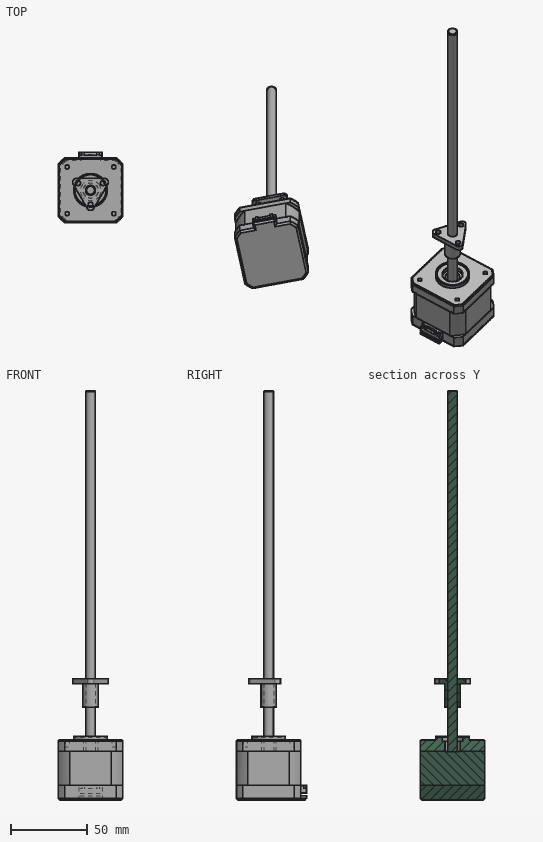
import cadquery as cq
import math

motor_width = 42.3
motor_height = 39.5
front_cap_height = 7.5
rear_cap_height = 9.6
cap_corner_diameter = 54.0
stator_corner_diameter = 50.4
cap_top_chamfer = 0.8
cap_bottom_chamfer = 1.3

boss_diameter = 22.0
boss_height = 2.5
boss_rim_width = 0.8
boss_recess_depth = 0.5
bearing_seat_diameter = 13.5
bearing_seat_depth = 3.2
screw_bore_diameter = 9.6
mount_hole_spacing = 30.5
mount_hole_diameter = 2.7
mount_hole_depth = 4.5

socket_width = 15.3
socket_reach = 3.8
tongue_height = 3.0
connector_gap = 1.5
notch_depth = 2.0
key_width = 1.5
key_offset = 4.8

total_height = 268.0
screw_diameter = 6.5
screw_chamfer = 0.5
nut_bottom = 60.8
nut_top = 79.5
nut_body_diameter = 10.2
flange_thickness = 3.5
flange_inner_radius = 7.8
flange_corner_radius = 2.5
flange_bolt_radius = 9.5
flange_hole_diameter = 3.2

half_width = motor_width / 2
front_cap_bottom = motor_height - front_cap_height
boss_top = motor_height + boss_height
socket_end = half_width + socket_reach


def trimmed_square(corner_diameter, bottom, top):
    """Square prism whose four corners are trimmed by a circle about the motor axis."""
    height = top - bottom
    square = cq.Workplane("XY").workplane(offset=bottom).rect(motor_width, motor_width).extrude(height)
    return square.intersect(cylinder(corner_diameter, bottom, top))


def cylinder(diameter, bottom, top):
    """Upright cylinder on the motor axis."""
    return cq.Workplane("XY").workplane(offset=bottom).circle(diameter / 2).extrude(top - bottom)


def socket_block(bottom, top):
    """Block standing out from the back face of the motor."""
    return (
        cq.Workplane("XY")
        .workplane(offset=bottom)
        .center(0, half_width + socket_reach / 2)
        .rect(socket_width, socket_reach)
        .extrude(top - bottom)
    )


def make_front_cap():
    """End cap with the pilot boss, a bearing seat, the screw bore and four mounting holes."""
    cap = trimmed_square(cap_corner_diameter, front_cap_bottom, motor_height)
    cap = cap.faces(">Z").edges().chamfer(cap_top_chamfer)
    cap = cap.union(cylinder(boss_diameter, front_cap_bottom, boss_top))
    recess_diameter = boss_diameter - 2 * boss_rim_width
    cap = cap.cut(cylinder(recess_diameter, boss_top - boss_recess_depth, boss_top))
    cap = cap.cut(cylinder(bearing_seat_diameter, boss_top - bearing_seat_depth, boss_top))
    cap = cap.cut(cylinder(screw_bore_diameter, front_cap_bottom, boss_top))
    mount_holes = (
        cq.Workplane("XY")
        .workplane(offset=motor_height)
        .rect(mount_hole_spacing, mount_hole_spacing, forConstruction=True)
        .vertices()
        .circle(mount_hole_diameter / 2)
        .extrude(-mount_hole_depth)
    )
    return cap.cut(mount_holes)


def make_stator():
    """Middle block of the motor, with larger corner cuts than the caps."""
    return trimmed_square(stator_corner_diameter, rear_cap_height, front_cap_bottom)


def make_rear_cap():
    """End cap with a ledge under the connector; its bottom outline is chamfered all round."""
    cap = trimmed_square(cap_corner_diameter, 0, rear_cap_height).union(socket_block(0, tongue_height))
    return cap.faces("<Z").edges().chamfer(cap_bottom_chamfer)


def make_connector():
    """Cable connector; notches in its outer top edge leave two upright ribs."""
    block = socket_block(tongue_height + connector_gap, rear_cap_height)
    notch = (
        cq.Workplane("XY")
        .box(socket_width, notch_depth, notch_depth)
        .translate((0, socket_end - notch_depth / 2, rear_cap_height - notch_depth / 2))
    )
    for side in (-1, 1):
        rib = (
            cq.Workplane("XY")
            .box(key_width, notch_depth, notch_depth)
            .translate((side * key_offset, socket_end - notch_depth / 2, rear_cap_height - notch_depth / 2))
        )
        notch = notch.cut(rib)
    return block.cut(notch)


def make_screw():
    """Lead screw standing on the stator and running up through the nut."""
    screw = cylinder(screw_diameter, front_cap_bottom, total_height)
    return screw.faces(">Z").edges().chamfer(screw_chamfer)


def make_nut():
    """Round nut with a rounded triangular flange at its top, one corner pointing to -Y."""
    corner_distance = 2 * flange_inner_radius
    directions = [math.radians(angle) for angle in (-90, 30, 150)]
    corners = [(corner_distance * math.cos(a), corner_distance * math.sin(a)) for a in directions]
    hole_places = [(flange_bolt_radius * math.cos(a), flange_bolt_radius * math.sin(a)) for a in directions]
    flange_plane = cq.Workplane("XY").workplane(offset=nut_top - flange_thickness)
    flange = flange_plane.polyline(corners).close().extrude(flange_thickness)
    flange = flange.edges("|Z").fillet(flange_corner_radius)
    flange_holes = flange_plane.pushPoints(hole_places).circle(flange_hole_diameter / 2).extrude(flange_thickness)
    nut = flange.cut(flange_holes).union(cylinder(nut_body_diameter, nut_bottom, nut_top))
    return nut.cut(cylinder(screw_diameter, nut_bottom, nut_top))


front_cap = make_front_cap()
stator = make_stator()
rear_cap = make_rear_cap()
connector = make_connector()
screw = make_screw()
nut = make_nut()

result = cq.Compound.makeCompound(
    [front_cap.val(), stator.val(), rear_cap.val(), connector.val(), screw.val(), nut.val()]
)